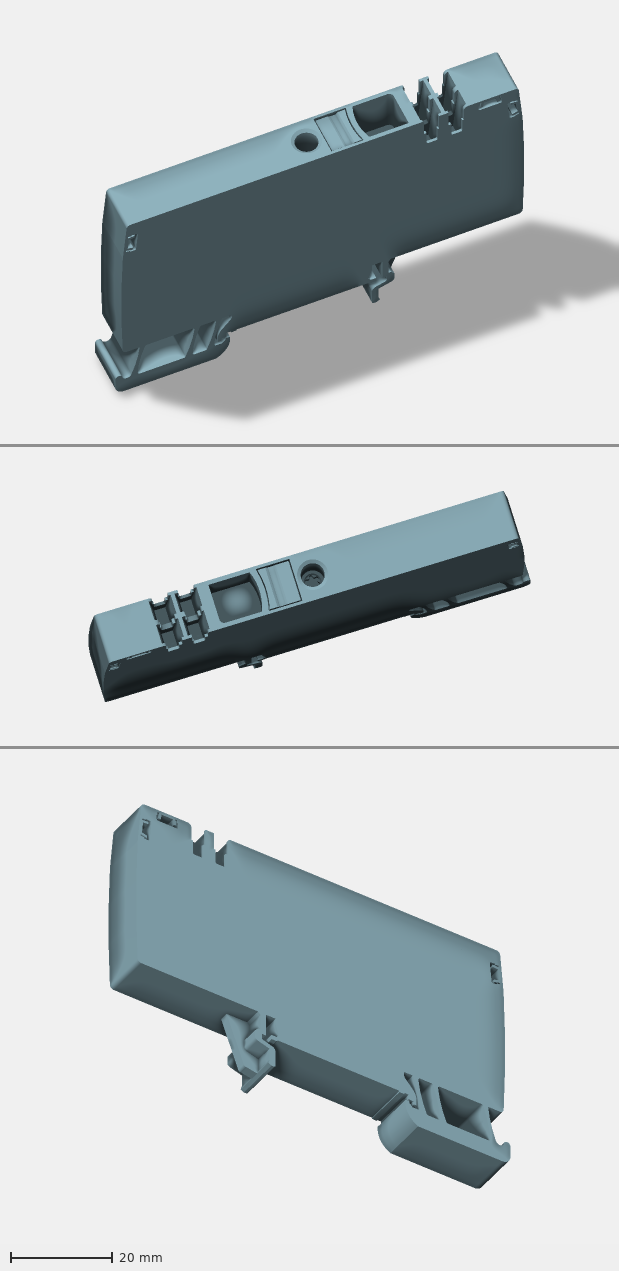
import cadquery as cq
import math

THICKNESS = 10.0
TOTAL_LENGTH = 88.35
TOP_Z = 53.19
Y_MAX = TOTAL_LENGTH / 2
Y_MIN = -TOTAL_LENGTH / 2

BODY_BOTTOM_Z = 12.38
BODY_LENGTH = 87.1
BODY_MID_Y = Y_MAX - BODY_LENGTH / 2
BULGE_Z = 28.0
BULGE_DROP = 0.35
SHOULDER_Z = 43.1
SHOULDER_HALF = BODY_LENGTH / 2 - BULGE_DROP
END_TILT = 5.0
TOP_HALF = SHOULDER_HALF - (TOP_Z - SHOULDER_Z) * math.tan(math.radians(END_TILT))
TOP_CORNER_RADIUS = 0.9
BOTTOM_CORNER_RADIUS = 0.9

MARKER_LENGTH = 8.2
MARKER_PLATE = 0.55
MARKER_PAD = 0.25
POCKET_LENGTH = 5.1
POCKET_MOUTH = 4.6
POCKET_BOTTOM = 2.7
POCKET_SHOULDER = 1.35
POCKET_RADIUS = 0.4
LEG_OUTER = 1.9
LEG_WIDTH = 0.6
LEG_DEPTH = 2.05
LEG_SPLAY = 0.25
TOP_MARKER_Y = 36.8
END_MARKER_Z = 47.2

SLOT_CENTRES_Y = (29.6, 24.27)
SLOT_UPPER_WIDTH = 3.3
SLOT_UPPER_SHIFT = -0.15
SLOT_LOWER_WIDTH = 2.4
SLOT_STEP_Z = 49.15
SLOT_BOTTOM_Z = 45.7
SLOT_BOTTOM_RADIUS = 0.4
SLOT_LEFT_RADIUS = 1.0
SLOT_RIGHT_RADIUS = 0.5
CELL_TOP_WIDTH = 4.54
CELL_BOTTOM_WIDTH = 2.3
CELL_BOTTOM_Z = 42.0
CELL_INNER_X = 0.5
CELL_OUTER_X = 4.4

ENTRY_HALF_WIDTH = 4.13
ENTRY_Y_FAR = 19.6
ENTRY_Y_NEAR = 11.1
ENTRY_BOW = 0.8
ENTRY_DEPTH = 10.0
ENTRY_RADIUS = 1.0

LEVER_RECESS_HALF_WIDTH = 4.4
LEVER_RECESS_Y_FAR = 9.75
LEVER_RECESS_Y_NEAR = 2.8
LEVER_RECESS_DEPTH = 3.0
LEVER_BOW = 0.55
LEVER_GAP = 0.27
LEVER_SHELF_DEPTH = 0.1
LEVER_FLOOR_DEPTH = 0.35
GROOVE_DEPTH = 0.6
GROOVE_TOP_FAR_Y = 7.87
GROOVE_FLOOR_FAR_Y = 7.33
GROOVE_FLOOR_NEAR_Y = 6.27
GROOVE_TOP_NEAR_Y = 5.73

SCREW_Y = -0.67
BORE_DIAMETER = 4.75
BORE_DEPTH = 8.0
COUNTERSINK_DIAMETER = 6.15
COUNTERSINK_DEPTH = 0.45
SOCKET_RIM_DIAMETER = 3.5
SOCKET_DIAMETER = 3.0
SOCKET_ROOT_DIAMETER = 2.1
SOCKET_DEPTH = 1.5
SOCKET_CHAMFER_DEPTH = 0.3
SOCKET_LOBE_WIDTH = 0.7

RAIL_Z = 7.08
RAIL_PAD_Z = 6.78

STRUT_OFFSETS_Y = (0.0, -4.65, -16.53)
STRUT_TOP_Y = (-21.15, -22.4)
STRUT_MID_Y = (-22.4, -23.13)
STRUT_END_Y = (-22.85, -24.5)
STRUT_MID_Z = 8.06
BASE_TOP_Z = 3.86
WINDOW_RADIUS = 0.45
LIP_Z = 4.65
LIP_RADIUS = 0.75

WEB_THICKNESS = 2.0


def side_profile(plane="YZ"):
    """Workplane for an outline that runs across the whole thickness."""
    return cq.Workplane(plane)


def full_width(outline):
    return outline.extrude(THICKNESS / 2, both=True)


def main_block():
    left = BODY_MID_Y + SHOULDER_HALF
    right = BODY_MID_Y - SHOULDER_HALF
    low_z = 2 * BULGE_Z - SHOULDER_Z
    outline = (
        side_profile()
        .moveTo(left, BODY_BOTTOM_Z)
        .lineTo(left, low_z)
        .threePointArc((Y_MAX, BULGE_Z), (left, SHOULDER_Z))
        .lineTo(BODY_MID_Y + TOP_HALF, TOP_Z)
        .lineTo(BODY_MID_Y - TOP_HALF, TOP_Z)
        .lineTo(right, SHOULDER_Z)
        .threePointArc((Y_MAX - BODY_LENGTH, BULGE_Z), (right, low_z))
        .lineTo(right, BODY_BOTTOM_Z)
        .close()
    )
    block = full_width(outline)
    block = block.faces(">Z").edges("|X").fillet(TOP_CORNER_RADIUS)
    return block.faces("<Z").edges("|X").fillet(BOTTOM_CORNER_RADIUS)


def rail_block():
    """Block that sits in the mounting rail, with the fixed hook at its -Y end."""
    outline = (
        side_profile()
        .moveTo(11.27, BODY_BOTTOM_Z)
        .lineTo(11.27, 11.0)
        .lineTo(10.5, 8.45)
        .lineTo(11.0, 7.85)
        .lineTo(12.2, 7.85)
        .lineTo(12.2, RAIL_PAD_Z)
        .lineTo(11.0, RAIL_PAD_Z)
        .lineTo(10.7, RAIL_Z)
        .lineTo(-18.0, RAIL_Z)
        .lineTo(-18.0, RAIL_PAD_Z)
        .lineTo(-19.2, RAIL_PAD_Z)
        .lineTo(-19.2, RAIL_Z)
        .lineTo(-20.13, RAIL_Z)
        .lineTo(-20.13, 5.9)
        .lineTo(-21.25, 5.9)
        .lineTo(-21.35, 5.15)
        .lineTo(-22.05, 5.15)
        .lineTo(-22.05, 6.6)
        .threePointArc((-21.8, 7.7), (-21.25, 8.7))
        .lineTo(-19.25, 11.0)
        .lineTo(-19.0, 11.6)
        .lineTo(-19.0, BODY_BOTTOM_Z)
        .close()
    )
    return full_width(outline)


def strut_edge(sketch, edge, offset, upwards):
    """Curved strut side; edge 0 faces +Y and edge 1 faces -Y."""
    top = (STRUT_TOP_Y[edge] + offset, BODY_BOTTOM_Z)
    middle = (STRUT_MID_Y[edge] + offset, STRUT_MID_Z)
    end = (STRUT_END_Y[edge] + offset, BASE_TOP_Z)
    if upwards:
        return sketch.lineTo(*end).threePointArc(middle, top)
    return sketch.lineTo(*top).threePointArc(middle, end)


def foot_window(first_offset, second_offset):
    """Opening between two neighbouring struts."""
    sketch = side_profile().moveTo(STRUT_END_Y[1] + first_offset, BASE_TOP_Z)
    sketch = strut_edge(sketch, 0, second_offset, upwards=True)
    sketch = strut_edge(sketch, 1, first_offset, upwards=False).close()
    return full_width(sketch).edges("|X").fillet(WINDOW_RADIUS)


def spring_foot():
    first, last = STRUT_OFFSETS_Y[0], STRUT_OFFSETS_Y[-1]
    outline = (
        side_profile()
        .moveTo(STRUT_TOP_Y[1] + last, BODY_BOTTOM_Z)
        .lineTo(STRUT_TOP_Y[0] + first, BODY_BOTTOM_Z)
        .threePointArc((STRUT_MID_Y[0], STRUT_MID_Z), (-22.8, 5.1))
        .lineTo(-22.8, 4.8)
        .threePointArc((-22.7, 4.45), (-22.35, 4.3))
        .lineTo(-21.1, 4.3)
        .lineTo(-20.4, 5.0)
        .lineTo(-20.25, 5.6)
        .lineTo(-19.4, 5.4)
        .lineTo(-19.4, 4.3)
        .threePointArc((-20.4, 1.65), (-22.4, 0))
        .lineTo(Y_MIN + 1.9, 0)
        .threePointArc((Y_MIN + 0.56, 0.56), (Y_MIN, 1.9))
        .lineTo(Y_MIN, LIP_Z)
        .threePointArc((Y_MIN + LIP_RADIUS, LIP_Z + LIP_RADIUS), (Y_MIN + 2 * LIP_RADIUS, LIP_Z))
        .threePointArc((-41.7, BASE_TOP_Z), (-40.7, LIP_Z))
        .threePointArc((STRUT_MID_Y[1] + last, STRUT_MID_Z), (STRUT_TOP_Y[1] + last, BODY_BOTTOM_Z))
        .close()
    )
    foot = full_width(outline)
    for first_offset, second_offset in zip(STRUT_OFFSETS_Y, STRUT_OFFSETS_Y[1:]):
        foot = foot.cut(foot_window(first_offset, second_offset))
    return foot


def latch_arm():
    """Cranked arm that grips the other rail edge."""
    outline = (
        side_profile()
        .moveTo(15.4, BODY_BOTTOM_Z)
        .lineTo(14.8, 11.7)
        .lineTo(14.8, 8.1)
        .lineTo(15.4, 8.1)
        .lineTo(16.1, 7.3)
        .lineTo(16.1, 5.6)
        .threePointArc((15.9, 5.2), (15.5, 4.95))
        .lineTo(12.7, 4.1)
        .lineTo(12.7, 1.3)
        .lineTo(13.0, 0.4)
        .lineTo(12.2, 0)
        .lineTo(11.7, 0)
        .threePointArc((11.4, 0.1), (11.27, 0.4))
        .lineTo(11.27, 4.0)
        .threePointArc((11.6, 4.7), (12.4, 5.1))
        .lineTo(14.1, 5.65)
        .threePointArc((14.4, 5.85), (14.5, 6.2))
        .lineTo(14.5, 7.08)
        .lineTo(13.53, 7.08)
        .lineTo(13.53, BODY_BOTTOM_Z)
        .close()
    )
    return full_width(outline)


def latch_web():
    """Thin triangular web on the outer side of the latch arm."""
    outline = (
        side_profile()
        .moveTo(20.2, BODY_BOTTOM_Z)
        .lineTo(16.2, 1.4)
        .threePointArc((15.95, 1.0), (15.5, 0.85))
        .lineTo(12.0, 0.2)
        .lineTo(12.0, 4.2)
        .lineTo(15.3, 5.4)
        .lineTo(15.3, 7.5)
        .lineTo(14.2, 8.5)
        .lineTo(14.2, BODY_BOTTOM_Z)
        .close()
    )
    return outline.extrude(WEB_THICKNESS / 2, both=True)


def slot_notch(centre_y):
    lower = SLOT_LOWER_WIDTH / 2
    upper_left = centre_y + SLOT_UPPER_SHIFT + SLOT_UPPER_WIDTH / 2
    upper_right = upper_left - SLOT_UPPER_WIDTH
    outline = (
        side_profile()
        .moveTo(centre_y - lower, SLOT_BOTTOM_Z)
        .lineTo(centre_y + lower, SLOT_BOTTOM_Z)
        .lineTo(centre_y + lower, SLOT_STEP_Z)
        .lineTo(upper_left, SLOT_STEP_Z)
        .lineTo(upper_left, TOP_Z)
        .lineTo(upper_right, TOP_Z)
        .lineTo(upper_right, SLOT_STEP_Z)
        .lineTo(centre_y - lower, SLOT_STEP_Z)
        .close()
    )
    return full_width(outline).faces("<Z").edges("|X").fillet(SLOT_BOTTOM_RADIUS)


def slot_cells(centre_y):
    """Two tapered cells side by side, split by a rib in the middle of the thickness."""
    outline = (
        side_profile()
        .moveTo(centre_y - CELL_BOTTOM_WIDTH / 2, CELL_BOTTOM_Z)
        .lineTo(centre_y + CELL_BOTTOM_WIDTH / 2, CELL_BOTTOM_Z)
        .lineTo(centre_y + CELL_TOP_WIDTH / 2, TOP_Z)
        .lineTo(centre_y - CELL_TOP_WIDTH / 2, TOP_Z)
        .close()
    )
    cell = outline.extrude(CELL_OUTER_X - CELL_INNER_X).translate((CELL_INNER_X, 0, 0))
    return cell.union(cell.mirror("YZ"))


def cut_bridge_slots(body):
    for centre_y in SLOT_CENTRES_Y:
        body = body.cut(slot_notch(centre_y))
    half = SLOT_UPPER_WIDTH / 2
    outer_edges = (
        (SLOT_CENTRES_Y[0] + SLOT_UPPER_SHIFT + half, SLOT_LEFT_RADIUS),
        (SLOT_CENTRES_Y[-1] + SLOT_UPPER_SHIFT - half, SLOT_RIGHT_RADIUS),
    )
    for edge_y, radius in outer_edges:
        body = body.edges(cq.NearestToPointSelector((0, edge_y, TOP_Z))).fillet(radius)
    for centre_y in SLOT_CENTRES_Y:
        body = body.cut(slot_cells(centre_y))
    return body


def entry_pocket():
    pocket = (
        cq.Workplane("XY", origin=(0, 0, TOP_Z - ENTRY_DEPTH))
        .moveTo(-ENTRY_HALF_WIDTH, ENTRY_Y_FAR)
        .lineTo(ENTRY_HALF_WIDTH, ENTRY_Y_FAR)
        .lineTo(ENTRY_HALF_WIDTH, ENTRY_Y_NEAR)
        .threePointArc((0, ENTRY_Y_NEAR - ENTRY_BOW), (-ENTRY_HALF_WIDTH, ENTRY_Y_NEAR))
        .close()
        .extrude(ENTRY_DEPTH)
    )
    return pocket.edges("|Z and <X and >Y").fillet(ENTRY_RADIUS)


def lever_block(gap):
    """Block with a bowed far end, standing on the recess floor and set in by a gap all round."""
    half_width = LEVER_RECESS_HALF_WIDTH - gap
    near_y = LEVER_RECESS_Y_NEAR + gap
    far_y = LEVER_RECESS_Y_FAR - gap
    return (
        cq.Workplane("XY", origin=(0, 0, TOP_Z - LEVER_RECESS_DEPTH))
        .moveTo(-half_width, near_y)
        .lineTo(half_width, near_y)
        .lineTo(half_width, far_y)
        .threePointArc((0, far_y - LEVER_BOW), (-half_width, far_y))
        .close()
        .extrude(LEVER_RECESS_DEPTH)
    )


def lever():
    """Lever with a shelf, a cross groove for the screwdriver and a lower thumb face."""
    floor_z = TOP_Z - LEVER_RECESS_DEPTH
    section = (
        side_profile()
        .moveTo(LEVER_RECESS_Y_FAR, floor_z)
        .lineTo(LEVER_RECESS_Y_FAR, TOP_Z - LEVER_SHELF_DEPTH)
        .lineTo(GROOVE_TOP_FAR_Y, TOP_Z - LEVER_SHELF_DEPTH)
        .lineTo(GROOVE_FLOOR_FAR_Y, TOP_Z - GROOVE_DEPTH)
        .lineTo(GROOVE_FLOOR_NEAR_Y, TOP_Z - GROOVE_DEPTH)
        .lineTo(GROOVE_TOP_NEAR_Y, TOP_Z - LEVER_FLOOR_DEPTH)
        .lineTo(LEVER_RECESS_Y_NEAR, TOP_Z - LEVER_FLOOR_DEPTH)
        .lineTo(LEVER_RECESS_Y_NEAR, floor_z)
        .close()
    )
    return lever_block(LEVER_GAP).intersect(full_width(section))


def screw_bore():
    axis_plane = cq.Workplane("XY", origin=(0, SCREW_Y, TOP_Z - BORE_DEPTH))
    bore = axis_plane.circle(BORE_DIAMETER / 2).extrude(BORE_DEPTH)
    countersink = (
        cq.Workplane("XY", origin=(0, SCREW_Y, TOP_Z))
        .circle(COUNTERSINK_DIAMETER / 2)
        .workplane(offset=-COUNTERSINK_DEPTH)
        .circle(BORE_DIAMETER / 2)
        .loft()
    )
    return bore.union(countersink)


def screw_socket():
    """Six-lobe socket with a chamfered rim in the floor of the bore."""
    head_z = TOP_Z - BORE_DEPTH
    rim = (
        cq.Workplane("XY", origin=(0, SCREW_Y, head_z))
        .circle(SOCKET_RIM_DIAMETER / 2)
        .workplane(offset=-SOCKET_CHAMFER_DEPTH)
        .circle(SOCKET_DIAMETER / 2)
        .loft()
    )
    socket_plane = cq.Workplane("XY", origin=(0, SCREW_Y, head_z - SOCKET_DEPTH))
    socket = socket_plane.circle(SOCKET_ROOT_DIAMETER / 2).extrude(SOCKET_DEPTH)
    for turn in (0, 60, 120):
        lobe_pair = socket_plane.slot2D(SOCKET_DIAMETER, SOCKET_LOBE_WIDTH, turn).extrude(SOCKET_DEPTH)
        socket = socket.union(lobe_pair)
    return rim.union(socket)


def marker_planes():
    """Side planes of the three markers: local x runs along the surface, local y points outwards."""
    end_half = SHOULDER_HALF - (END_MARKER_Z - SHOULDER_Z) * math.tan(math.radians(END_TILT))
    seats = (
        (TOP_MARKER_Y, TOP_Z, 0),
        (BODY_MID_Y + end_half, END_MARKER_Z, END_TILT - 90),
        (BODY_MID_Y - end_half, END_MARKER_Z, 90 - END_TILT),
    )
    planes = []
    for y, z, angle in seats:
        turn = math.radians(angle)
        along = (0, math.cos(turn), math.sin(turn))
        planes.append(cq.Plane(origin=(0, y, z), xDir=along, normal=(1, 0, 0)))
    return planes


def marker_plate(plane):
    outline = side_profile(plane).center(0, -MARKER_PLATE / 2).rect(MARKER_LENGTH, MARKER_PLATE)
    return full_width(outline)


def marker_pocket(plane):
    """Undercut pocket behind the plate, narrower at its mouth."""
    mouth = POCKET_MOUTH / 2
    wide = POCKET_LENGTH / 2
    outline = (
        side_profile(plane)
        .moveTo(-mouth, -MARKER_PLATE)
        .lineTo(mouth, -MARKER_PLATE)
        .lineTo(mouth, -POCKET_SHOULDER)
        .lineTo(wide, -POCKET_SHOULDER)
        .lineTo(wide, -POCKET_BOTTOM)
        .lineTo(-wide, -POCKET_BOTTOM)
        .lineTo(-wide, -POCKET_SHOULDER)
        .lineTo(-mouth, -POCKET_SHOULDER)
        .close()
    )
    pocket = full_width(outline)
    for side in (-1, 1):
        corner = plane.toWorldCoords((side * wide, -POCKET_BOTTOM, 0))
        pocket = pocket.edges(cq.NearestToPointSelector(corner.toTuple())).fillet(POCKET_RADIUS)
    return pocket


def marker(plane):
    """Plate with a pad and two splayed legs on its back."""
    pad_centre = -MARKER_PLATE - MARKER_PAD / 2
    pad = side_profile(plane).center(0, pad_centre).rect(2 * LEG_OUTER, MARKER_PAD)
    body = marker_plate(plane).union(full_width(pad))
    for side in (-1, 1):
        leg = (
            side_profile(plane)
            .moveTo(side * LEG_OUTER, -MARKER_PLATE)
            .lineTo(side * (LEG_OUTER + LEG_SPLAY), -LEG_DEPTH)
            .lineTo(side * (LEG_OUTER + LEG_SPLAY - LEG_WIDTH), -LEG_DEPTH)
            .lineTo(side * (LEG_OUTER - LEG_WIDTH), -MARKER_PLATE)
            .close()
        )
        body = body.union(full_width(leg))
    return body


def housing():
    body = main_block()
    for piece in (rail_block(), spring_foot(), latch_arm(), latch_web()):
        body = body.union(piece)
    body = cut_bridge_slots(body)
    for cutter in (entry_pocket(), lever_block(gap=0), screw_bore(), screw_socket()):
        body = body.cut(cutter)
    for plane in marker_planes():
        body = body.cut(marker_plate(plane)).cut(marker_pocket(plane))
    return body


markers = [marker(plane) for plane in marker_planes()]
result = cq.Compound.makeCompound([housing().val(), lever().val(), *[item.val() for item in markers]])